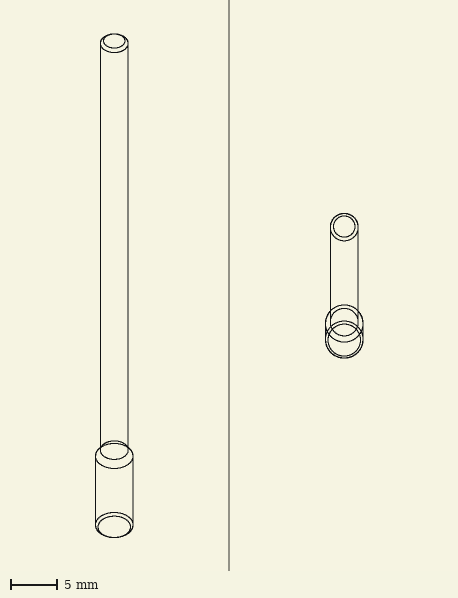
import cadquery as cq

total_length = 70.0

head_diameter = 4.05
head_length = 11.05
head_taper_height = 0.85
head_tip_chamfer = 0.3

shank_diameter = 3.0
shank_tip_chamfer = 0.35

bottom_z = -total_length / 2
joint_z = bottom_z + head_length
shank_length = total_length - head_length


def make_head():
    """Cylinder with a chamfered lower rim and a cone that narrows to the shank diameter."""
    taper_width = (head_diameter - shank_diameter) / 2
    return (
        cq.Workplane("XY", origin=(0, 0, bottom_z))
        .circle(head_diameter / 2)
        .extrude(head_length)
        .faces("<Z").edges().chamfer(head_tip_chamfer)
        .faces(">Z").edges().chamfer(head_taper_height, taper_width)
    )


def make_shank():
    """Straight rod that sits on the top of the head and has a chamfered free end."""
    return (
        cq.Workplane("XY", origin=(0, 0, joint_z))
        .circle(shank_diameter / 2)
        .extrude(shank_length)
        .faces(">Z").edges().chamfer(shank_tip_chamfer)
    )


head = make_head()
shank = make_shank()

result = cq.Compound.makeCompound([head.val(), shank.val()])